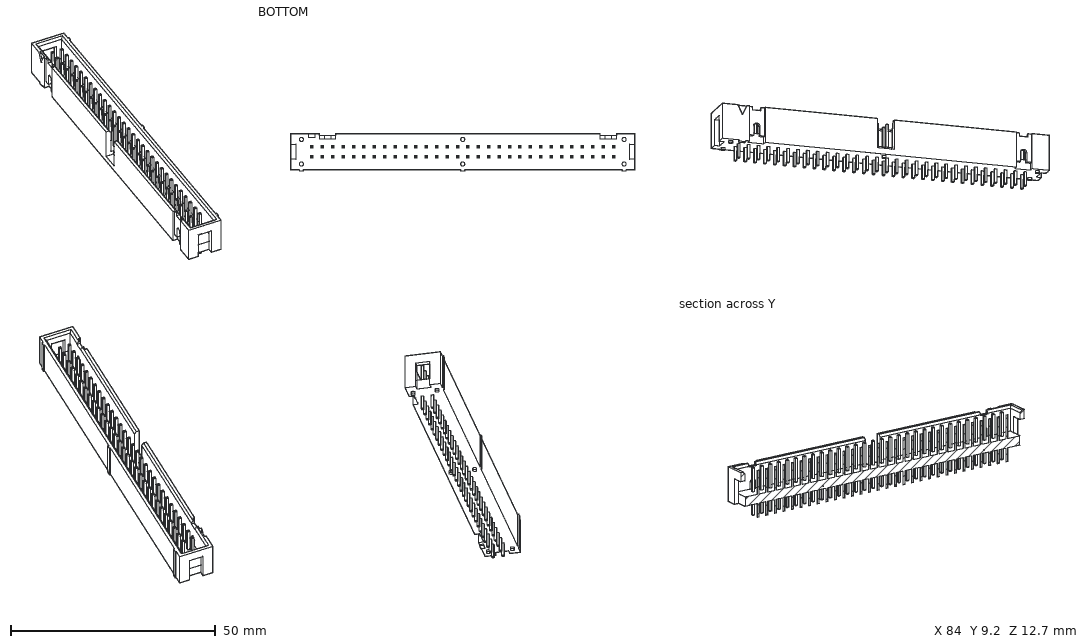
import cadquery as cq


LENGTH = 84.02
DEPTH = 8.9
HEIGHT = 9.0
FLOOR_TOP = 2.5
WALL = 1.3
MOUTH_BEVEL_WIDTH = 0.5
MOUTH_BEVEL_DROP = 0.6

COLUMNS = 30
ROWS = 2
PITCH = 2.54
PIN_WIDTH = 0.6
PIN_TOP = HEIGHT - 0.2
PIN_TAIL = 3.65
PIN_TIP_CHAMFER = 0.2

KEY_WIDTH = 4.3
KEY_BOTTOM = 1.5
KEY_DEPTH = 2.0

LATCH_GAPS = (1, COLUMNS - 2)
LATCH_WIDTH = 4.0
LATCH_DEPTH = 0.45
LATCH_FOOT = 1.75
ARCH_WIDTH = 1.6
ARCH_TOP = 4.9
NOTCH_WIDTH = 2.15
NOTCH_DEPTH = 0.8

WINDOW_WIDTH = 3.55
WINDOW_TOP = 6.6

RIB_WIDTH = 1.0
RIB_HEIGHT = 0.3
STANDOFF_DIAMETER = 1.0
STANDOFF_HEIGHT = 0.5
STANDOFF_INSET = 2.6
STANDOFF_Y = 3.0

TRIANGLE_WIDTH = 2.3
TRIANGLE_HEIGHT = 2.4
TRIANGLE_DEPTH = 0.4
PAD_WIDTH = 1.6
PAD_DEPTH = 1.0
PAD_HEIGHT = 0.3

FRONT = -DEPTH / 2
BACK = DEPTH / 2
END_X = LENGTH / 2 - STANDOFF_INSET


def column_x(index):
    """X position of a column; half indices lie midway between two columns."""
    return (index - (COLUMNS - 1) / 2) * PITCH


def block(x_range, y_range, z_range):
    """Axis-aligned box given by its limits."""
    (x0, x1), (y0, y1), (z0, z1) = x_range, y_range, z_range
    return cq.Workplane("XY").box(x1 - x0, y1 - y0, z1 - z0, centered=False).translate((x0, y0, z0))


def span(center, width):
    """Limits of a width about its centre."""
    return center - width / 2, center + width / 2


def make_shell():
    """Open-topped housing with a bevelled mouth."""
    shell = block(span(0, LENGTH), (FRONT, BACK), (0, HEIGHT))
    cavity = block(span(0, LENGTH - 2 * WALL), (FRONT + WALL, BACK - WALL), (FLOOR_TOP, HEIGHT))
    mouth = (
        cq.Workplane("XY", origin=(0, 0, HEIGHT))
        .rect(LENGTH - 2 * (WALL - MOUTH_BEVEL_WIDTH), DEPTH - 2 * (WALL - MOUTH_BEVEL_WIDTH))
        .workplane(offset=-MOUTH_BEVEL_DROP)
        .rect(LENGTH - 2 * WALL, DEPTH - 2 * WALL)
        .loft(combine=True)
    )
    return shell.cut(cavity).cut(mouth)


def key_cutter():
    """Open slot through the front wall that runs on into the floor."""
    return block(span(0, KEY_WIDTH), (FRONT, FRONT + KEY_DEPTH), (KEY_BOTTOM, HEIGHT))


def latch_cutter(x):
    """Full-height recess with an undercut foot, an arched opening and a notch in the rim."""
    inner = FRONT + WALL
    recess = block(span(x, LATCH_WIDTH), (FRONT, FRONT + LATCH_DEPTH), (0, HEIGHT))
    foot = block(span(x, LATCH_WIDTH), (FRONT, inner), (0, LATCH_FOOT))
    notch = block(span(x, NOTCH_WIDTH), (FRONT, inner), (HEIGHT - NOTCH_DEPTH, HEIGHT))
    radius = ARCH_WIDTH / 2
    arch = (
        cq.Workplane("XZ", origin=(x, FRONT, 0))
        .moveTo(-radius, 0)
        .lineTo(-radius, ARCH_TOP - radius)
        .threePointArc((0, ARCH_TOP), (radius, ARCH_TOP - radius))
        .lineTo(radius, 0)
        .close()
        .extrude(-WALL)
    )
    return recess.union(foot).union(arch).union(notch)


def window_cutter(side):
    """Slot through an end wall, open at the underside."""
    outer = side * LENGTH / 2
    x_range = sorted((outer, outer - side * WALL))
    return block(x_range, span(0, WINDOW_WIDTH), (0, WINDOW_TOP))


def triangle_cutter():
    """Pin-one triangle sunk into the front face, pointing down from the rim."""
    return (
        cq.Workplane("XZ", origin=(column_x(0), FRONT, HEIGHT))
        .moveTo(-TRIANGLE_WIDTH / 2, 0)
        .lineTo(TRIANGLE_WIDTH / 2, 0)
        .lineTo(0, -TRIANGLE_HEIGHT)
        .close()
        .extrude(-TRIANGLE_DEPTH)
    )


def make_pad():
    """Pin-one pad under the housing, flush with the front face."""
    return block(span(column_x(0), PAD_WIDTH), (FRONT, FRONT + PAD_DEPTH), (-PAD_HEIGHT, 0))


def make_ribs():
    """Upright ribs on the rear wall."""
    ribs = cq.Workplane("XY")
    for x in (-END_X, 0, END_X):
        ribs = ribs.union(block(span(x, RIB_WIDTH), (BACK, BACK + RIB_HEIGHT), (0, HEIGHT)))
    return ribs


def make_standoffs():
    """Round feet under the floor."""
    points = [(x, y) for x in (-END_X, 0, END_X) for y in (-STANDOFF_Y, STANDOFF_Y)]
    foot = cq.Workplane("XY", origin=(0, 0, -STANDOFF_HEIGHT)).pushPoints(points)
    return foot.circle(STANDOFF_DIAMETER / 2).extrude(STANDOFF_HEIGHT)


def make_pins():
    """Square pins with bevelled tips."""
    pin = block(span(0, PIN_WIDTH), span(0, PIN_WIDTH), (-PIN_TAIL, PIN_TOP))
    pin = pin.faces("<Z or >Z").edges().chamfer(PIN_TIP_CHAMFER).val()
    places = [
        (column_x(column), (row - (ROWS - 1) / 2) * PITCH)
        for column in range(COLUMNS)
        for row in range(ROWS)
    ]
    return [pin.translate(cq.Vector(x, y, 0)) for x, y in places]


housing = make_shell().union(make_ribs())
housing = housing.cut(key_cutter()).cut(triangle_cutter())
for gap in LATCH_GAPS:
    housing = housing.cut(latch_cutter(column_x(gap + 0.5)))
for end in (-1, 1):
    housing = housing.cut(window_cutter(end))
housing = housing.union(make_standoffs()).union(make_pad())
part = housing.val().fuse(*make_pins())
result = cq.Workplane("XY").newObject(part.Solids())